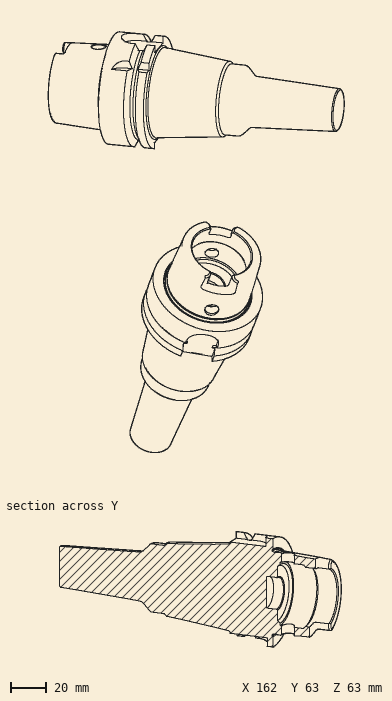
import cadquery as cq
import math

total_length = 162.0

shank_length = 31.9
taper_slope = 0.05
taper_start_radius = 45.2 / 2
shank_round = 1.1
relief_start = 29.6
relief_depth = 0.3
relief_wall = 0.5
relief_floor = 0.8
relief_end_radius = 24.3
face_groove_radius = 25.5
face_groove_depth = 0.5

flange_radius = 63.0 / 2
flange_end = 58.0
vee_center = shank_length + 18.0
vee_mouth_half = 3.4
vee_flank_half = 2.0
vee_bottom_half = 0.89
vee_flank_radius = 28.8
vee_bottom_radius = 27.5

neck_radius = 26.2
body_start = 58.8
body_start_radius = 25.3
body_end = 96.9
body_end_radius = 21.2
collar_start = 98.2
collar_radius = 20.0
collar_end = 106.5
tip_start_radius = 14.4
tip_start = collar_end + collar_radius - tip_start_radius
tip_end_radius = 12.0
collar_blend = 2.5
tip_chamfer = 0.6
edge_tolerance = 0.2

bore_radius = 17.0
bore_chamfer = 0.6
recess_start = 12.2
recess_radius = 18.3
recess_end = 27.5
seat_radius = 15.7
seat_cone_length = 1.6
pocket_radius = 9.5
pocket_chamfer = 0.5
pocket_end = 35.6

drive_half_width = 6.2
drive_edge_round = 3.9
drive_root_round = 1.3
drive_mouth_chamfer = 1.0
mouth_angle = 45
drive_top_depth = 5.8
drive_bottom_depth = 9.7

hole_x = 22.8
hole_radius = 3.7
hole_mouth_radius = 4.2

keyway_floor = 26.5
keyway_center_x = 44.5
keyway_top_width = 16.0
keyway_bottom_width = 18.0
notch_offset = 20.1


def taper_radius(x):
    return taper_start_radius + taper_slope * x


def turned_body():
    relief_radius = taper_radius(relief_start) - relief_depth
    outline = (
        cq.Workplane("XY")
        .moveTo(0, 0)
        .lineTo(0, taper_radius(0))
        .lineTo(relief_start, taper_radius(relief_start))
        .lineTo(relief_start + relief_wall, relief_radius)
        .lineTo(relief_start + relief_wall + relief_floor, relief_radius)
        .lineTo(shank_length + face_groove_depth, relief_end_radius)
        .lineTo(shank_length + face_groove_depth, face_groove_radius - face_groove_depth)
        .lineTo(shank_length, face_groove_radius)
        .lineTo(shank_length, flange_radius)
        .lineTo(vee_center - vee_mouth_half, flange_radius)
        .lineTo(vee_center - vee_flank_half, vee_flank_radius)
        .lineTo(vee_center - vee_bottom_half, vee_bottom_radius)
        .lineTo(vee_center + vee_bottom_half, vee_bottom_radius)
        .lineTo(vee_center + vee_flank_half, vee_flank_radius)
        .lineTo(vee_center + vee_mouth_half, flange_radius)
        .lineTo(flange_end, flange_radius)
        .lineTo(flange_end, neck_radius)
        .lineTo(body_start, body_start_radius)
        .lineTo(body_end, body_end_radius)
        .lineTo(collar_start, collar_radius)
        .lineTo(collar_end, collar_radius)
        .lineTo(tip_start, tip_start_radius)
        .lineTo(total_length, tip_end_radius)
        .lineTo(total_length, 0)
        .close()
    )
    body = outline.revolve(360, (0, 0, 0), (1, 0, 0))
    body = body.faces("<X").edges().fillet(shank_round)
    body = body.faces(">X").edges().chamfer(tip_chamfer)
    for x in (collar_end, tip_start):
        low_corner = (x - edge_tolerance, -flange_radius, -flange_radius)
        high_corner = (x + edge_tolerance, flange_radius, flange_radius)
        ring = cq.selectors.BoxSelector(low_corner, high_corner, boundingbox=True)
        body = body.edges(ring).fillet(collar_blend)
    return body


def bore():
    outline = (
        cq.Workplane("XY")
        .moveTo(0, 0)
        .lineTo(0, bore_radius + bore_chamfer)
        .lineTo(bore_chamfer, bore_radius)
        .lineTo(recess_start, bore_radius)
        .lineTo(recess_start + recess_radius - bore_radius, recess_radius)
        .lineTo(recess_end, recess_radius)
        .lineTo(recess_end, bore_radius)
        .lineTo(recess_end + seat_cone_length, seat_radius)
        .lineTo(recess_end + seat_cone_length, pocket_radius)
        .lineTo(recess_end + seat_cone_length + pocket_chamfer, pocket_radius - pocket_chamfer)
        .lineTo(pocket_end, pocket_radius - pocket_chamfer)
        .lineTo(pocket_end, 0)
        .close()
    )
    return outline.revolve(360, (0, 0, 0), (1, 0, 0))


def drive_outline(clearance):
    """Section of a drive slot, widened all round; its walls flare out at the outer surface."""
    half_width = drive_half_width + clearance
    flare = drive_edge_round - clearance
    mouth_half_width = drive_half_width + drive_edge_round
    surface = math.sqrt(taper_radius(drive_bottom_depth) ** 2 - mouth_half_width**2)
    flare_start = surface - drive_edge_round
    flare_end = flare_start + flare
    flare_middle = flare * math.sqrt(0.5)
    return (
        cq.Workplane("YZ")
        .moveTo(-half_width, 0)
        .lineTo(-half_width, flare_start)
        .threePointArc(
            (flare_middle - mouth_half_width, flare_start + flare_middle),
            (-mouth_half_width, flare_end),
        )
        .lineTo(-flange_radius, flare_end)
        .lineTo(-flange_radius, flange_radius)
        .lineTo(flange_radius, flange_radius)
        .lineTo(flange_radius, flare_end)
        .lineTo(mouth_half_width, flare_end)
        .threePointArc(
            (mouth_half_width - flare_middle, flare_start + flare_middle),
            (half_width, flare_start),
        )
        .lineTo(half_width, 0)
        .close()
    )


def drive_slot(depth, side):
    """Slot across one side of the shank end, with a rounded root and a chamfered mouth."""
    slot = drive_outline(0).extrude(depth).faces(">X").edges().fillet(drive_root_round)
    mouth = drive_outline(drive_mouth_chamfer).extrude(drive_mouth_chamfer, taper=mouth_angle)
    slot = slot.union(mouth)
    return slot if side > 0 else slot.mirror("XY")


def radial_hole():
    """One straight hole through both walls, with a countersunk mouth at each end."""
    mouth_start = taper_radius(hole_x) - (hole_mouth_radius - hole_radius)
    reach = mouth_start + 2 * (hole_mouth_radius - hole_radius)
    reach_radius = hole_radius + reach - mouth_start
    outline = (
        cq.Workplane("XZ")
        .moveTo(hole_x, -reach)
        .lineTo(hole_x + reach_radius, -reach)
        .lineTo(hole_x + hole_radius, -mouth_start)
        .lineTo(hole_x + hole_radius, mouth_start)
        .lineTo(hole_x + reach_radius, reach)
        .lineTo(hole_x, reach)
        .close()
    )
    return outline.revolve(360, (hole_x, 0, 0), (hole_x, 1, 0))


def flange_slot(center_y, width, floor, side):
    """Slot along X with a rounded blind end, open toward the body and outward along Z."""
    radius = width / 2
    slot = (
        cq.Workplane("XY")
        .workplane(offset=floor)
        .moveTo(flange_end, center_y + radius)
        .lineTo(keyway_center_x, center_y + radius)
        .threePointArc((keyway_center_x - radius, center_y), (keyway_center_x, center_y - radius))
        .lineTo(flange_end, center_y - radius)
        .close()
        .extrude(flange_radius)
    )
    return slot if side > 0 else slot.mirror("XY")


result = turned_body()
result = result.cut(drive_slot(drive_top_depth, 1))
result = result.cut(drive_slot(drive_bottom_depth, -1))
result = result.cut(bore())
result = result.cut(radial_hole())
result = result.cut(flange_slot(0, keyway_top_width, keyway_floor, 1))
result = result.cut(flange_slot(0, keyway_bottom_width, keyway_floor, -1))
notch_center_y = -notch_offset - keyway_top_width / 2
result = result.cut(flange_slot(notch_center_y, keyway_top_width, notch_offset, 1))